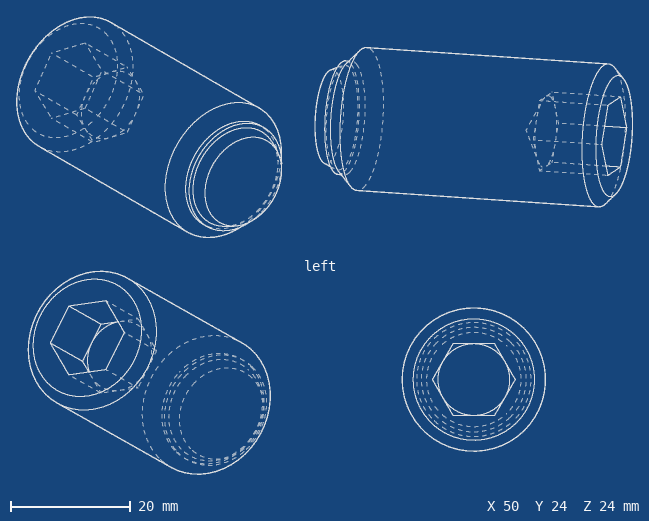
import cadquery as cq
import math

total_length = 50.0
body_radius = 12.0

socket_chamfer = 1.85
ball_chamfer = 2.45

collar_radius = body_radius - ball_chamfer
collar_width = 1.0

ball_radius = 9.0
flat_radius = 7.9
ball_projection = 2.25

socket_across_flats = 12.0
socket_depth = 12.0
drill_point_angle = 120.0

collar_end = total_length - ball_projection
collar_start = collar_end - collar_width
shoulder_start = collar_start - ball_chamfer

ball_center = total_length - math.sqrt(ball_radius**2 - flat_radius**2)


def make_profile_solid():
    """Revolve body, collar and flattened ball about the X axis."""
    exit_offset = collar_end - ball_center
    exit_radius = math.sqrt(ball_radius**2 - exit_offset**2)
    middle_offset = (exit_offset + total_length - ball_center) / 2
    middle_radius = math.sqrt(ball_radius**2 - middle_offset**2)
    return (
        cq.Workplane("XY")
        .moveTo(0, 0)
        .lineTo(0, body_radius - socket_chamfer)
        .lineTo(socket_chamfer, body_radius)
        .lineTo(shoulder_start, body_radius)
        .lineTo(collar_start, collar_radius)
        .lineTo(collar_end, collar_radius)
        .lineTo(collar_end, exit_radius)
        .threePointArc((ball_center + middle_offset, middle_radius), (total_length, flat_radius))
        .lineTo(total_length, 0)
        .close()
        .revolve(360, (0, 0, 0), (1, 0, 0))
    )


def make_socket():
    """Hexagonal recess, flats facing up and down, ending in a drill cone."""
    across_corners = socket_across_flats / math.cos(math.radians(30))
    hexagon = cq.Workplane("YZ").polygon(6, across_corners).extrude(socket_depth)
    drill_radius = socket_across_flats / 2
    cone_depth = drill_radius / math.tan(math.radians(drill_point_angle / 2))
    cone = (
        cq.Workplane("XZ")
        .moveTo(socket_depth, 0)
        .lineTo(socket_depth, drill_radius)
        .lineTo(socket_depth + cone_depth, 0)
        .close()
        .revolve(360, (0, 0, 0), (1, 0, 0))
    )
    return hexagon.union(cone)


result = make_profile_solid().cut(make_socket())